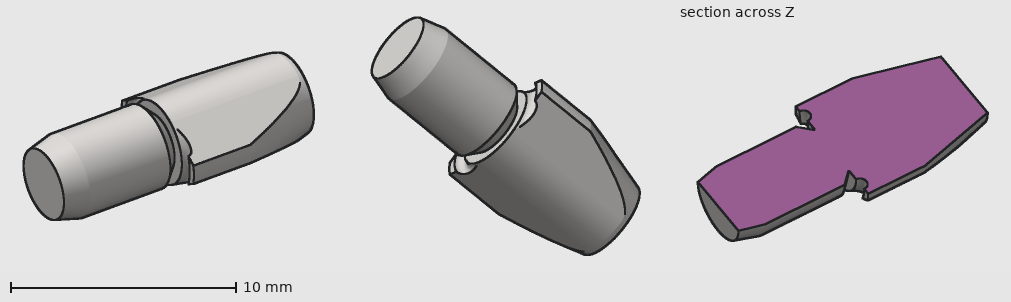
import cadquery as cq
import math


shank_length = 6.0
shank_radius = 2.0
taper_angle = math.radians(15)
tip_length = 1.2
tip_radius = shank_radius - tip_length * math.tan(taper_angle)

undercut_depth = 0.6
undercut_radius = shank_radius - undercut_depth

head_length = 7.0
head_radius = 3.0
nose_length = 4.0
nose_radius = head_radius - nose_length * math.tan(taper_angle)
wing_end_half_height = 0.5

groove_radius = 0.325
groove_center_radius = shank_radius + groove_radius


def revolve_about_y(half_profile):
    return half_profile.close().revolve(360, (0, 0, 0), (0, 1, 0))


def make_shank():
    return revolve_about_y(
        cq.Workplane("XY")
        .moveTo(0, -shank_length)
        .lineTo(tip_radius, -shank_length)
        .lineTo(shank_radius, tip_length - shank_length)
        .lineTo(shank_radius, -undercut_depth)
        .lineTo(undercut_radius, 0)
        .lineTo(0, 0)
    )


def make_head_envelope():
    return revolve_about_y(
        cq.Workplane("XY")
        .lineTo(head_radius, 0)
        .lineTo(head_radius, head_length - nose_length)
        .lineTo(nose_radius, head_length)
        .lineTo(0, head_length)
    )


def make_winged_prism():
    """Two arcs of the shank radius joined by tangent flats to wing ends on the head radius."""
    wing_x = math.sqrt(head_radius**2 - wing_end_half_height**2)
    tangent_angle = math.atan2(wing_x, wing_end_half_height) - math.acos(shank_radius / head_radius)
    tangent_x = shank_radius * math.sin(tangent_angle)
    tangent_z = shank_radius * math.cos(tangent_angle)
    return (
        cq.Workplane("XZ")
        .moveTo(-tangent_x, tangent_z)
        .threePointArc((0, shank_radius), (tangent_x, tangent_z))
        .lineTo(wing_x, wing_end_half_height)
        .threePointArc((head_radius, 0), (wing_x, -wing_end_half_height))
        .lineTo(tangent_x, -tangent_z)
        .threePointArc((0, -shank_radius), (-tangent_x, -tangent_z))
        .lineTo(-wing_x, -wing_end_half_height)
        .threePointArc((-head_radius, 0), (-wing_x, wing_end_half_height))
        .close()
        .extrude(-head_length)
    )


def make_ring_groove():
    """Upper half of a torus, so that only the head is cut and not the shank."""
    return revolve_about_y(
        cq.Workplane("XY")
        .moveTo(groove_center_radius - groove_radius, 0)
        .threePointArc(
            (groove_center_radius, groove_radius),
            (groove_center_radius + groove_radius, 0),
        )
    )


head = make_head_envelope().intersect(make_winged_prism()).cut(make_ring_groove())
result = make_shank().union(head)